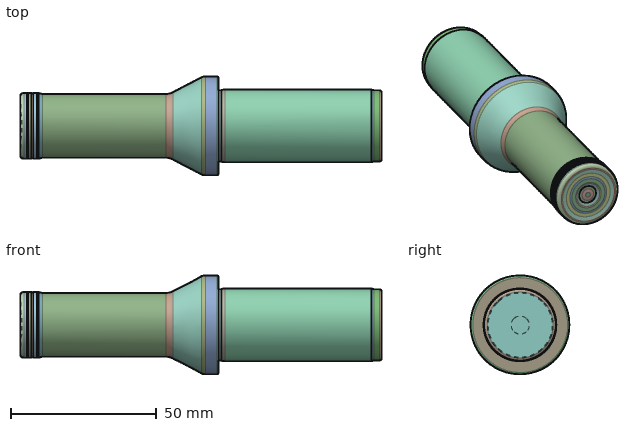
import cadquery as cq
import math

length = 124.0
head_length = 6.5
taper_end = 7.6

head_radius = 11.3
front_corner_fillet = 1.2
groove_radius = 11.2
groove_spans = [(2.4, 2.7), (3.8, 4.6), (5.7, 6.1)]

face_profile = [
    (0.0, 9.5),
    (0.2, 8.0),
    (0.2, 6.8),
    (0.1, 6.1),
    (0.1, 4.7),
    (0.2, 4.2),
    (0.6, 3.1),
    (0.6, 2.1),
    (0.5, 0.9),
    (0.5, 0.0),
]

neck_radius = 22.0 / 2
nose_radius = head_radius
flange_radius = 34.0 / 2
shank_radius = 25.0 / 2
relief_radius = 24.5 / 2
blend_radius = (shank_radius + relief_radius) / 2
cone_start = 51.2
cone_angle = math.radians(27.5)
cone_length = (flange_radius - neck_radius) / math.tan(cone_angle)
cone_root_fillet = 5.0
cone_rim_fillet = 3.0
flange_back = 68.1
flange_edge_fillet = 0.7
relief_end = 69.0
lead_in_break = 69.3
shank_start = 70.0
shank_end = 120.4
tail_break = 120.7
tail_start = 121.1
tail_fillet = 1.0


def revolve_about_x(profile):
    """Turn a closed profile, drawn as (x, radius), about the X axis."""
    return profile.close().revolve(360, (0, 0, 0), (1, 0, 0))


def rounded_corner(profile, corner, turn_angle, radius, arrive_angle):
    """Run to a corner and round it; angles are headings in the (x, radius) plane."""
    tangent_length = radius * math.tan(abs(turn_angle) / 2)
    leave_angle = arrive_angle + turn_angle
    start = (
        corner[0] - tangent_length * math.cos(arrive_angle),
        corner[1] - tangent_length * math.sin(arrive_angle),
    )
    end = (
        corner[0] + tangent_length * math.cos(leave_angle),
        corner[1] + tangent_length * math.sin(leave_angle),
    )
    return profile.lineTo(*start).tangentArcPoint(end, relative=False)


def make_cutting_head():
    profile = cq.Workplane("XY").moveTo(head_length, 0).lineTo(head_length, head_radius)
    profile = rounded_corner(profile, (0, head_radius), math.pi / 2, front_corner_fillet, math.pi)
    for point in face_profile:
        profile = profile.lineTo(*point)
    head = revolve_about_x(profile)
    for start, end in groove_spans:
        ring = (
            cq.Workplane("YZ", origin=(start, 0, 0))
            .circle(flange_radius)
            .circle(groove_radius)
            .extrude(end - start)
        )
        head = head.cut(ring)
    return head


def make_holder():
    profile = (
        cq.Workplane("XY")
        .moveTo(head_length, 0)
        .lineTo(head_length, nose_radius)
        .lineTo(taper_end, neck_radius)
    )
    profile = rounded_corner(profile, (cone_start, neck_radius), cone_angle, cone_root_fillet, 0)
    cone_top = (cone_start + cone_length, flange_radius)
    profile = rounded_corner(profile, cone_top, -cone_angle, cone_rim_fillet, cone_angle)
    flange_edge = (flange_back, flange_radius)
    profile = rounded_corner(profile, flange_edge, -math.pi / 2, flange_edge_fillet, 0)
    profile = (
        profile.lineTo(flange_back, relief_radius)
        .lineTo(relief_end, relief_radius)
        .lineTo(lead_in_break, blend_radius)
        .lineTo(shank_start, shank_radius)
        .lineTo(shank_end, shank_radius)
        .lineTo(tail_break, blend_radius)
        .lineTo(tail_start, relief_radius)
    )
    profile = rounded_corner(profile, (length, relief_radius), -math.pi / 2, tail_fillet, 0)
    return revolve_about_x(profile.lineTo(length, 0))


cutting_head = make_cutting_head()
holder = make_holder()
result = cq.Compound.makeCompound([cutting_head.val(), holder.val()])